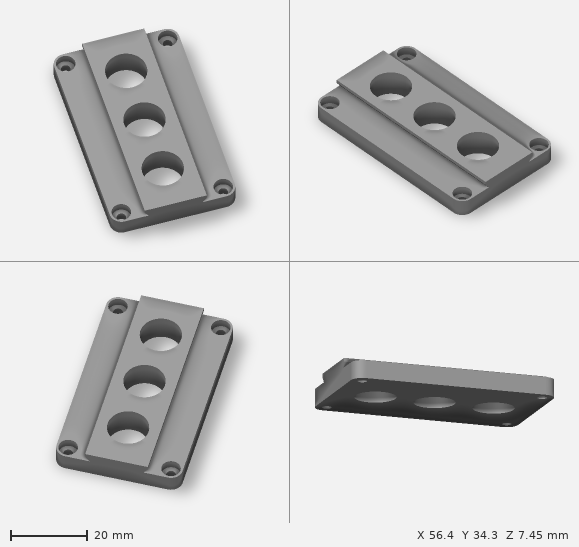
import cadquery as cq

length = 56.4
width = 34.3
base_height = 4.85
corner_radius = 3.15

total_height = 7.45
rail_width = 17.05
rail_neck_width = 14.8
rail_lip_height = 1.0

bore_diameter = 11.1
bore_pitch = 16.45
bore_count = 3

screw_diameter = 2.55
head_diameter = 5.15
head_depth = 2.4


def make_base():
    plate = cq.Workplane("XY").box(length, width, base_height, centered=(True, True, False))
    return plate.edges("|Z").fillet(corner_radius)


def make_rail():
    half_top = rail_width / 2
    half_neck = rail_neck_width / 2
    lip_bottom = total_height - rail_lip_height
    profile = [
        (-half_neck, 0),
        (half_neck, 0),
        (half_neck, base_height),
        (half_top, lip_bottom),
        (half_top, total_height),
        (-half_top, total_height),
        (-half_top, lip_bottom),
        (-half_neck, base_height),
    ]
    return cq.Workplane("YZ").polyline(profile).close().extrude(length / 2, both=True)


def cut_bores(body):
    bores = (
        cq.Workplane("XY")
        .rarray(bore_pitch, 0.55, bore_count, 1)
        .circle(bore_diameter / 2)
        .extrude(total_height)
    )
    return body.cut(bores)


def cut_screw_holes(body):
    spacing_x = length - 2 * corner_radius
    spacing_y = width - 2 * corner_radius
    return (
        body.copyWorkplane(cq.Workplane("XY", origin=(0, 0, base_height)))
        .rarray(spacing_x, spacing_y, 2, 2)
        .cboreHole(screw_diameter, head_diameter, head_depth)
    )


body = make_base().union(make_rail())
body = cut_bores(body)
result = cut_screw_holes(body)